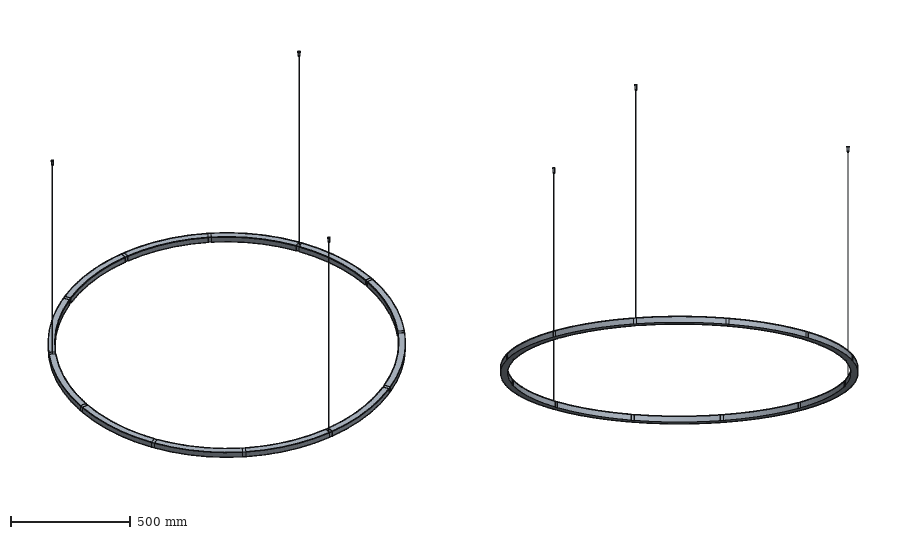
import cadquery as cq
import math

OUTER_DIA = 1500.0
INNER_DIA = 1440.0
RING_HEIGHT = 27.0
COVER_OUTER_DIA = 1498.0
COVER_INNER_DIA = 1445.0
COVER_THICKNESS = 2.2
HOUSING_HEIGHT = RING_HEIGHT - COVER_THICKNESS
MID_RADIUS = (OUTER_DIA + INNER_DIA) / 4

JOINT_COUNT = 12
JOINT_WIDTH = 14.0
JOINT_TOP_DROP = 0.8
JOINT_TOP = RING_HEIGHT - JOINT_TOP_DROP

TOTAL_HEIGHT = 1050.0
SUSPENSION_COUNT = 3
CABLE_DIA = 2.0
FLANGE_DIA = 11.0
FLANGE_THICKNESS = 2.0
CAP_DIA = 9.0
CAP_LENGTH = 21.0
NOZZLE_DIA = 4.0
NOZZLE_LENGTH = 3.0
CAP_BOTTOM = TOTAL_HEIGHT - CAP_LENGTH
NOZZLE_BOTTOM = CAP_BOTTOM - NOZZLE_LENGTH


def annulus(outer_dia, inner_dia, bottom, top):
    outline = cq.Workplane("XY").workplane(offset=bottom).circle(outer_dia / 2).circle(inner_dia / 2)
    return outline.extrude(top - bottom)


def disc(diameter, bottom, top):
    return cq.Workplane("XY").workplane(offset=bottom).circle(diameter / 2).extrude(top - bottom)


def joint_recesses():
    """The shallow material missing around each joint: outer side, inner side and top."""
    bar_length = OUTER_DIA - INNER_DIA
    bars = (
        cq.Workplane("XY")
        .polarArray(MID_RADIUS, 0, 360, JOINT_COUNT)
        .rect(bar_length, JOINT_WIDTH)
        .extrude(RING_HEIGHT)
    )
    joint_section = annulus(COVER_OUTER_DIA, COVER_INNER_DIA, 0, JOINT_TOP)
    return bars.cut(joint_section)


def make_housing(recesses):
    return annulus(OUTER_DIA, INNER_DIA, 0, HOUSING_HEIGHT).cut(recesses)


def make_cover(recesses):
    return annulus(COVER_OUTER_DIA, COVER_INNER_DIA, HOUSING_HEIGHT, RING_HEIGHT).cut(recesses)


def make_cable():
    return disc(CABLE_DIA, JOINT_TOP, NOZZLE_BOTTOM)


def make_cap():
    flange_bottom = TOTAL_HEIGHT - FLANGE_THICKNESS
    flange = disc(FLANGE_DIA, flange_bottom, TOTAL_HEIGHT)
    barrel = disc(CAP_DIA, CAP_BOTTOM, flange_bottom)
    nozzle = disc(NOZZLE_DIA, NOZZLE_BOTTOM, CAP_BOTTOM)
    return flange.union(barrel).union(nozzle)


def around_ring(body):
    """Separate copies of a body at every suspension point."""
    copies = []
    for index in range(SUSPENSION_COUNT):
        angle = 2 * math.pi * index / SUSPENSION_COUNT
        place = (MID_RADIUS * math.cos(angle), MID_RADIUS * math.sin(angle), 0)
        copies.append(body.translate(place).val())
    return copies


recesses = joint_recesses()
housing = make_housing(recesses)
cover = make_cover(recesses)
cables = around_ring(make_cable())
caps = around_ring(make_cap())

result = cq.Compound.makeCompound([housing.val(), cover.val(), *cables, *caps])